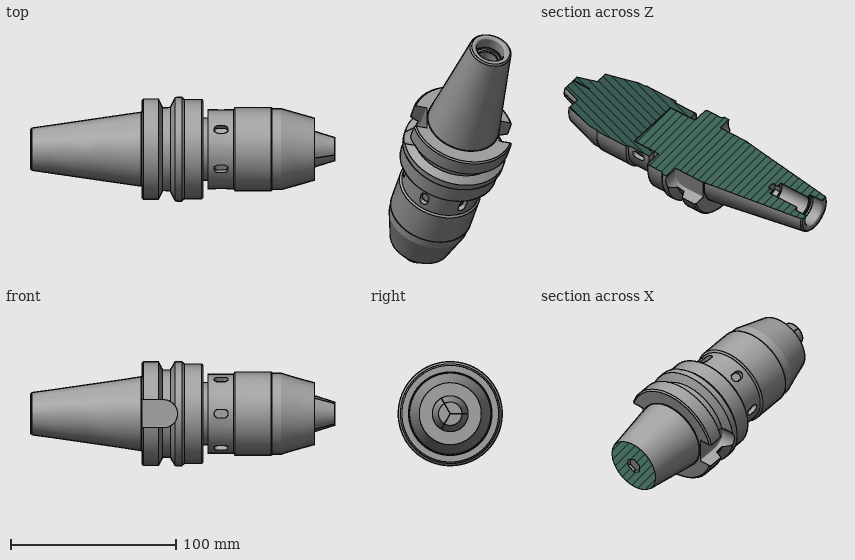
import cadquery as cq
import math


TAPER_TIP_RADIUS = 12.9
TAPER_TIP_CHAMFER = 1.0
TAPER_RADIUS = 22.5
TAPER_END = 66.7
RELIEF_RADIUS = 22.0

FLANGE_RADIUS = 63.0 / 2
FLANGE_START = 67.3
FLANGE_CHAMFER = 1.0
GROOVE_RADIUS = 26.5
GROOVE_START = 77.2
GROOVE_FLOOR_START = 79.8
GROOVE_FLOOR_END = 84.4
GROOVE_END = 87.3
FLANGE_END = 91.3
COLLAR_RADIUS = 30.1
COLLAR_START = 92.8
COLLAR_END = 104.2
NECK_RADIUS = 19.0

BORE_RADIUS = 17.5 / 2
BORE_MOUTH_FILLET = 1.3
BORE_DEPTH = 7.5
RECESS_RADIUS = 8.5
RECESS_DEPTH = 8.8
THREAD_MOUTH_RADIUS = 14.2 / 2
THREAD_RADIUS = 13.0 / 2
THREAD_CHAMFER = THREAD_MOUTH_RADIUS - THREAD_RADIUS
THREAD_DEPTH = 29.4
HEX_FLATS = 8.5
HEX_DEPTH = 3.7

DRIVE_WIDTH = 17.0
DRIVE_END = 88.8
DRIVE_FLOOR = 22.5
DRIVE_FILLET = 0.5

SLEEVE_RADIUS = 48.0 / 2
SLEEVE_START = 107.2
SLEEVE_END = 122.6
GRIP_RADIUS = 50.5 / 2
GRIP_START = 123.5
GRIP_END = 146.0
GRIP_CHAMFER = 0.5
BAND_RADIUS = 49.0 / 2
BAND_END = 151.5
HOOD_RADIUS = 18.7
HOOD_END = 171.7

JAW_BASE_RADIUS = 10.8
JAW_TIP_RADIUS = 14.2 / 2
TIP = 183.8
JAW_COUNT = 3
SEAM_WIDTH = 0.2

SPANNER_COUNT = 6
SPANNER_X = 115.0
SPANNER_LENGTH = 8.5
SPANNER_WIDTH = 5.3
SPANNER_DEPTH = 3.3


def turn_about_x(shape, angle):
    return shape.rotate((0, 0, 0), (1, 0, 0), angle)


def revolve_about_x(outline):
    return outline.close().revolve(360, (0, 0, 0), (1, 0, 0))


def make_shank_blank():
    outline = (
        cq.Workplane("XY")
        .lineTo(0, TAPER_TIP_RADIUS - TAPER_TIP_CHAMFER)
        .lineTo(TAPER_TIP_CHAMFER, TAPER_TIP_RADIUS)
        .lineTo(TAPER_END, TAPER_RADIUS)
        .lineTo(TAPER_END, RELIEF_RADIUS)
        .lineTo(FLANGE_START, RELIEF_RADIUS)
        .lineTo(FLANGE_START, FLANGE_RADIUS - FLANGE_CHAMFER)
        .lineTo(FLANGE_START + FLANGE_CHAMFER, FLANGE_RADIUS)
        .lineTo(GROOVE_START, FLANGE_RADIUS)
        .lineTo(GROOVE_FLOOR_START, GROOVE_RADIUS)
        .lineTo(GROOVE_FLOOR_END, GROOVE_RADIUS)
        .lineTo(GROOVE_END, FLANGE_RADIUS)
        .lineTo(FLANGE_END, FLANGE_RADIUS)
        .lineTo(COLLAR_START, COLLAR_RADIUS)
        .lineTo(COLLAR_END - FLANGE_CHAMFER, COLLAR_RADIUS)
        .lineTo(COLLAR_END, COLLAR_RADIUS - FLANGE_CHAMFER)
        .lineTo(COLLAR_END, NECK_RADIUS)
        .lineTo(SLEEVE_END, NECK_RADIUS)
        .lineTo(SLEEVE_END, 0)
    )
    return revolve_about_x(outline)


def make_bore_cutter():
    outline = (
        cq.Workplane("XY")
        .lineTo(0, BORE_RADIUS + BORE_MOUTH_FILLET)
        .radiusArc((BORE_MOUTH_FILLET, BORE_RADIUS), -BORE_MOUTH_FILLET)
        .lineTo(BORE_DEPTH, BORE_RADIUS)
        .lineTo(BORE_DEPTH, RECESS_RADIUS)
        .lineTo(RECESS_DEPTH, RECESS_RADIUS)
        .lineTo(RECESS_DEPTH, THREAD_MOUTH_RADIUS)
        .lineTo(RECESS_DEPTH + THREAD_CHAMFER, THREAD_RADIUS)
        .lineTo(THREAD_DEPTH, THREAD_RADIUS)
        .lineTo(THREAD_DEPTH, 0)
    )
    return revolve_about_x(outline)


def make_hex_cutter():
    across_corners = HEX_FLATS / math.cos(math.pi / 6)
    hexagon = cq.Workplane("YZ", origin=(THREAD_DEPTH, 0, 0)).polygon(6, across_corners)
    return turn_about_x(hexagon.extrude(HEX_DEPTH), 90)


def make_drive_slot_cutter(angle):
    end_radius = DRIVE_WIDTH / 2
    end_center = DRIVE_END - end_radius
    height = FLANGE_RADIUS - DRIVE_FLOOR
    slot = (
        cq.Workplane("XY", origin=(0, 0, DRIVE_FLOOR))
        .moveTo(0, -end_radius)
        .lineTo(end_center, -end_radius)
        .threePointArc((DRIVE_END, 0), (end_center, end_radius))
        .lineTo(0, end_radius)
        .close()
        .extrude(height)
        .faces("<Z").edges().fillet(DRIVE_FILLET)
    )
    return turn_about_x(slot, angle)


def make_shank():
    shank = make_shank_blank().cut(make_bore_cutter()).cut(make_hex_cutter())
    for angle in (90, -90):
        shank = shank.cut(make_drive_slot_cutter(angle))
    return shank


def make_head_blank():
    outline = (
        cq.Workplane("XY")
        .moveTo(SLEEVE_END, 0)
        .lineTo(SLEEVE_END, NECK_RADIUS)
        .lineTo(SLEEVE_START, NECK_RADIUS)
        .lineTo(SLEEVE_START, SLEEVE_RADIUS)
        .lineTo(SLEEVE_END, SLEEVE_RADIUS)
        .lineTo(GRIP_START, GRIP_RADIUS)
        .lineTo(GRIP_END - GRIP_CHAMFER, GRIP_RADIUS)
        .lineTo(GRIP_END, GRIP_RADIUS - GRIP_CHAMFER)
        .lineTo(GRIP_END, BAND_RADIUS)
        .lineTo(BAND_END, BAND_RADIUS)
        .lineTo(HOOD_END, HOOD_RADIUS)
        .lineTo(HOOD_END, JAW_BASE_RADIUS)
        .lineTo(TIP, JAW_TIP_RADIUS)
        .lineTo(TIP, 0)
    )
    return revolve_about_x(outline)


def make_spanner_slot_cutter(angle):
    slot = (
        cq.Workplane("XY", origin=(SPANNER_X, 0, SLEEVE_RADIUS - SPANNER_DEPTH))
        .slot2D(SPANNER_LENGTH, SPANNER_WIDTH)
        .extrude(SPANNER_DEPTH)
    )
    return turn_about_x(slot, angle)


def make_seam_cutter(angle):
    seam = cq.Workplane("XY", origin=(HOOD_END, 0, 0)).box(
        TIP - HOOD_END, JAW_BASE_RADIUS, SEAM_WIDTH, centered=(False, False, True)
    )
    return turn_about_x(seam, angle)


def make_head():
    head = make_head_blank()
    spanner_step = 360 / SPANNER_COUNT
    for index in range(SPANNER_COUNT):
        head = head.cut(make_spanner_slot_cutter((index + 0.5) * spanner_step))
    for index in range(JAW_COUNT):
        head = head.cut(make_seam_cutter(index * 360 / JAW_COUNT))
    return head


shank = make_shank()
head = make_head()

result = cq.Compound.makeCompound([shank.val(), head.val()])